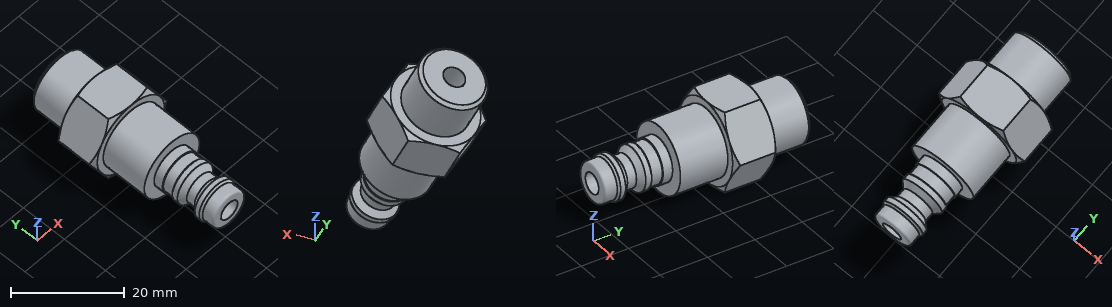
import cadquery as cq
import math


HEX_SIDES = 6
HEX_ACROSS_FLATS = 17.0
HEX_LENGTH = 9.0
HEX_CHAMFER_ANGLE = 30.0

THREAD_DIAMETER = 13.1
THREAD_LENGTH = 9.0
THREAD_CHAMFER = 0.65

COLLAR_DIAMETER = 14.0
COLLAR_LENGTH = 10.0

STEM_DIAMETER = 9.0
RELIEF_DIAMETER = 8.5
GROOVE_DIAMETER = 6.65
TIP_DIAMETER = 8.2

TIP_LENGTH = 2.6
TIP_FILLET = 0.55
TIP_SHOULDER_LENGTH = 0.45
FRONT_LAND_LENGTH = 1.05
GROOVE_FLOOR_LENGTH = 1.9
REAR_LAND_LENGTH = 1.25
RELIEF_LENGTH = 2.4
ROOT_LENGTH = 2.0

BORE_DIAMETER = 4.2

GROOVE_FLANK_LENGTH = (STEM_DIAMETER - GROOVE_DIAMETER) / 2

front_land_start = TIP_LENGTH + TIP_SHOULDER_LENGTH
front_land_end = front_land_start + FRONT_LAND_LENGTH
groove_start = front_land_end + GROOVE_FLANK_LENGTH
groove_end = groove_start + GROOVE_FLOOR_LENGTH
rear_land_start = groove_end + GROOVE_FLANK_LENGTH
rear_land_end = rear_land_start + REAR_LAND_LENGTH
relief_end = rear_land_end + RELIEF_LENGTH
collar_start = relief_end + ROOT_LENGTH
hex_start = collar_start + COLLAR_LENGTH
hex_end = hex_start + HEX_LENGTH
total_length = hex_end + THREAD_LENGTH


def revolve_about_y(profile):
    """Turn a closed (radius, y) profile in the XY plane around the Y axis."""
    return profile.close().revolve(360, (0, 0, 0), (0, 1, 0))


def cylinder_along_y(diameter, start, end):
    profile = (
        cq.Workplane("XY")
        .moveTo(0, start)
        .lineTo(diameter / 2, start)
        .lineTo(diameter / 2, end)
        .lineTo(0, end)
    )
    return revolve_about_y(profile)


def make_stem():
    """Plug stem with rounded tip, locking groove and shallow relief."""
    tip_radius = TIP_DIAMETER / 2
    stem_radius = STEM_DIAMETER / 2
    groove_radius = GROOVE_DIAMETER / 2
    relief_radius = RELIEF_DIAMETER / 2
    profile = (
        cq.Workplane("XY")
        .moveTo(0, 0)
        .lineTo(tip_radius - TIP_FILLET, 0)
        .radiusArc((tip_radius, TIP_FILLET), -TIP_FILLET)
        .lineTo(tip_radius, TIP_LENGTH)
        .lineTo(stem_radius, front_land_start)
        .lineTo(stem_radius, front_land_end)
        .lineTo(groove_radius, groove_start)
        .lineTo(groove_radius, groove_end)
        .lineTo(stem_radius, rear_land_start)
        .lineTo(stem_radius, rear_land_end)
        .lineTo(relief_radius, rear_land_end)
        .lineTo(relief_radius, relief_end)
        .lineTo(stem_radius, relief_end)
        .lineTo(stem_radius, collar_start)
        .lineTo(0, collar_start)
    )
    return revolve_about_y(profile)


def make_hexagon():
    """Hexagon with corners on the X axis and both ends chamfered by a cone."""
    corner_radius = HEX_ACROSS_FLATS / 2 / math.cos(math.pi / HEX_SIDES)
    flat_radius = HEX_ACROSS_FLATS / 2
    chamfer_length = (corner_radius - flat_radius) * math.tan(math.radians(HEX_CHAMFER_ANGLE))
    prism = (
        cq.Workplane("XZ", origin=(0, hex_end, 0))
        .polygon(HEX_SIDES, 2 * corner_radius)
        .extrude(HEX_LENGTH)
    )
    envelope = (
        cq.Workplane("XY")
        .moveTo(0, hex_start)
        .lineTo(flat_radius, hex_start)
        .lineTo(corner_radius, hex_start + chamfer_length)
        .lineTo(corner_radius, hex_end - chamfer_length)
        .lineTo(flat_radius, hex_end)
        .lineTo(0, hex_end)
    )
    return prism.intersect(revolve_about_y(envelope))


def make_threaded_end():
    """Plain cylinder at the thread's outer diameter, chamfered at its free end."""
    cylinder = cylinder_along_y(THREAD_DIAMETER, hex_end, total_length)
    return cylinder.faces(">Y").chamfer(THREAD_CHAMFER)


collar = cylinder_along_y(COLLAR_DIAMETER, collar_start, hex_start)
bore = cylinder_along_y(BORE_DIAMETER, 0, total_length)
body = make_stem().union(collar).union(make_hexagon()).union(make_threaded_end())
result = body.cut(bore)